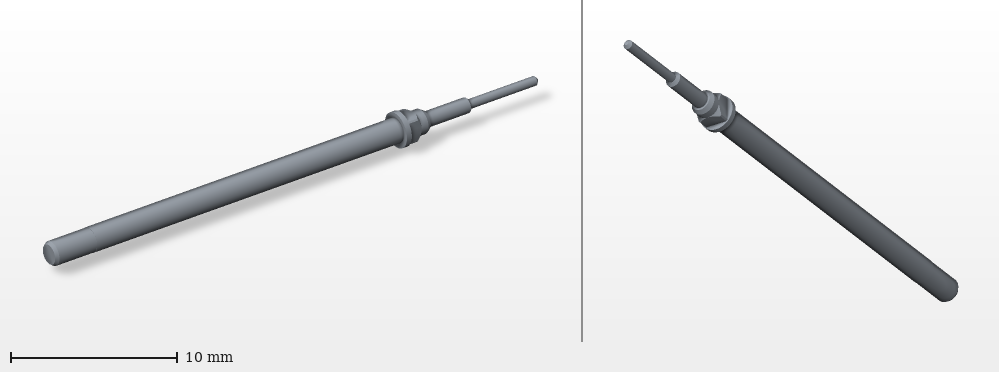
import cadquery as cq
import math

total_length = 35.8
pin_end = total_length / 2
cap_end = -total_length / 2

pin_diameter = 0.6
shank_diameter = 1.0
collar_diameter = 1.6
square_corner_diameter = 2.15
flange_diameter = 2.3
barrel_diameter = 1.6
cap_diameter = 1.58

pin_length = 5.0
shank_length = 3.22
collar_length = 0.8
square_length = 0.95
flange_thickness = 0.35
cap_length = 2.97

pin_bevel = 0.18
shank_bevel = 0.18
collar_bevel_length = 0.3
collar_bevel_depth = 0.18
square_bevel_angle = 45.0
cap_bevel_length = 0.2
cap_bevel_depth = 0.15

shank_start = pin_end - pin_length
collar_start = shank_start - shank_length
square_start = collar_start - collar_length
flange_start = square_start - square_length
barrel_start = flange_start - flange_thickness
cap_start = cap_end + cap_length


def revolved(*profile):
    """Solid of revolution about Y from (y, radius) points, closed along the axis."""
    axis_points = [(profile[-1][0], 0), (profile[0][0], 0)]
    outline = cq.Workplane("YZ").polyline(list(profile) + axis_points).close()
    return outline.revolve(360, (0, 0, 0), (1, 0, 0))


def make_round_body():
    """All the round steps, from the pin tip to the cap end."""
    pin_radius = pin_diameter / 2
    shank_radius = shank_diameter / 2
    collar_radius = collar_diameter / 2
    flange_radius = flange_diameter / 2
    barrel_radius = barrel_diameter / 2
    cap_radius = cap_diameter / 2
    return revolved(
        (pin_end, pin_radius - pin_bevel),
        (pin_end - pin_bevel, pin_radius),
        (shank_start, pin_radius),
        (shank_start, shank_radius - shank_bevel),
        (shank_start - shank_bevel, shank_radius),
        (collar_start, shank_radius),
        (collar_start, collar_radius - collar_bevel_depth),
        (collar_start - collar_bevel_length, collar_radius),
        (flange_start, collar_radius),
        (flange_start, flange_radius),
        (barrel_start, flange_radius),
        (barrel_start, barrel_radius),
        (cap_start, barrel_radius),
        (cap_start, cap_radius),
        (cap_end + cap_bevel_length, cap_radius),
        (cap_end, cap_radius - cap_bevel_depth),
    )


def make_square():
    """Square as wide as the collar, with rounded corners and a turned bevel at its front."""
    inner_radius = collar_diameter / 2
    corner_radius = square_corner_diameter / 2
    bevel_length = (corner_radius - inner_radius) / math.tan(math.radians(square_bevel_angle))
    turned_blank = revolved(
        (square_start, inner_radius),
        (square_start - bevel_length, corner_radius),
        (flange_start, corner_radius),
    )
    square_bar = cq.Workplane("XY").box(collar_diameter, square_length, collar_diameter)
    square_bar = square_bar.translate((0, flange_start + square_length / 2, 0))
    return turned_blank.intersect(square_bar)


result = make_round_body().union(make_square())